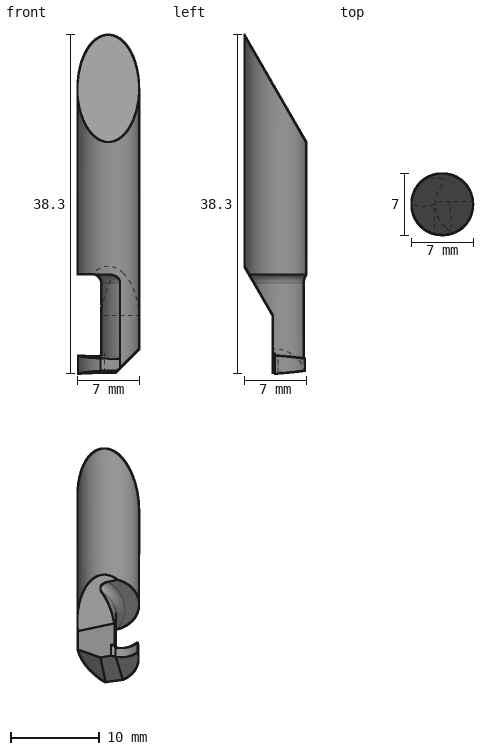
import cadquery as cq
import math


shank_radius = 3.5
overall_length = 38.31
slope_angle = 60
slope_tangent = math.tan(math.radians(slope_angle))
corner_bevel_height = 2.8

neck_left = -0.8
neck_radius = shank_radius
neck_axis_x = neck_left + neck_radius
shoulder_height = 11.25
shoulder_fillet = 1.0
foot_fillet = 0.2
back_flat_y = 0.3
back_slope_top = 12.15
back_slope_bottom = back_slope_top - (shank_radius - back_flat_y) * slope_tangent

tip_left = -3.42
cutting_edge_y = 0.04
land_end_y = -0.3
edge_width = 2.1
side_relief = 2.0
back_relief = 4.5
seat_x = -0.87
tip_arc_radius = shank_radius
tip_axis_x = tip_left + math.sqrt(tip_arc_radius**2 - land_end_y**2)
foot_front_y = -math.sqrt(tip_arc_radius**2 - (seat_x - tip_axis_x)**2)

runout_x = neck_axis_x / 2
runout_y = -math.sqrt(shank_radius**2 - runout_x**2)

groove_sag = 0.32
groove_right = -0.82
groove_half_chord = (groove_right - tip_left) / 2
groove_radius = (groove_half_chord**2 + groove_sag**2) / (2 * groove_sag)
groove_axis_x = tip_left + groove_half_chord
groove_axis_y = cutting_edge_y - groove_sag + groove_radius
groove_height = 2.3

reach = 4 * shank_radius


def tilted_block(edge_height, direction):
    """Block above (+1) or below (-1) the relief plane that passes through the cutting corner."""
    return (
        cq.Workplane("XY")
        .rect(2 * reach, 2 * reach)
        .extrude(direction * reach)
        .rotate((0, 0, 0), (1, 0, 0), direction * back_relief)
        .rotate((0, 0, 0), (0, 1, 0), direction * side_relief)
        .translate((tip_left, cutting_edge_y, edge_height))
    )


above_head = tilted_block(edge_width, 1)
below_head = tilted_block(0, -1)
chip_groove = (
    cq.Workplane("XY")
    .center(groove_axis_x, groove_axis_y)
    .circle(groove_radius)
    .extrude(groove_height + reach)
    .translate((0, 0, -reach))
)


def side_cut(points):
    """Cutting block with a YZ outline that runs right across the part in X."""
    return cq.Workplane("YZ").polyline(points).close().extrude(reach, both=True)


def make_neck_column():
    """Neck cylinder that flares into the shoulder with a concave fillet."""
    flare_start = shoulder_height - shoulder_fillet
    bend = shoulder_fillet * math.cos(math.radians(45))
    return (
        cq.Workplane("XZ")
        .moveTo(0, 0)
        .lineTo(neck_radius, 0)
        .lineTo(neck_radius, flare_start)
        .threePointArc(
            (neck_radius + shoulder_fillet - bend, flare_start + bend),
            (neck_radius + shoulder_fillet, shoulder_height),
        )
        .lineTo(0, shoulder_height)
        .close()
        .revolve(360, (0, 0, 0), (0, 1, 0))
        .translate((neck_axis_x, 0, 0))
    )


def make_foot_surround():
    """Everything around the foot: past the tip seat and in front of the flat foot face."""
    return (
        cq.Workplane("XY")
        .moveTo(seat_x, reach)
        .lineTo(seat_x, foot_front_y)
        .lineTo(runout_x, runout_y)
        .lineTo(runout_x, -reach)
        .lineTo(-reach, -reach)
        .lineTo(-reach, reach)
        .close()
        .extrude(groove_height)
    )


def make_corner_bevel():
    """Wedge that takes the lower +X corner off at 45 degrees."""
    return (
        cq.Workplane("XZ")
        .polyline([
            (shank_radius, corner_bevel_height),
            (shank_radius - corner_bevel_height, 0),
            (shank_radius, 0),
        ])
        .close()
        .extrude(reach, both=True)
    )


def make_bar():
    """Shank, neck and foot as one solid."""
    bar = cq.Workplane("XY").circle(shank_radius).extrude(overall_length)
    end_drop = 2 * shank_radius * slope_tangent
    bar = bar.cut(side_cut([
        (shank_radius, overall_length),
        (-shank_radius, overall_length - end_drop),
        (-shank_radius, overall_length),
    ]))
    bar = bar.cut(side_cut([
        (shank_radius, back_slope_top),
        (back_flat_y, back_slope_bottom),
        (back_flat_y, 0),
        (shank_radius, 0),
    ]))
    pocket = cq.Workplane("XY").rect(2 * reach, 2 * reach).extrude(shoulder_height)
    pocket = pocket.intersect(above_head).cut(make_neck_column())
    bar = bar.cut(pocket)
    neck_base_edge = cq.selectors.NearestToPointSelector((0, runout_y / 2, edge_width))
    bar = bar.edges(neck_base_edge).fillet(foot_fillet)
    bar = bar.cut(make_foot_surround())
    return bar.cut(make_corner_bevel()).cut(below_head).cut(chip_groove)


def make_tip():
    """Grooving tip with a narrow flat land, an arc behind it and a hollow rake face."""
    bend = tip_arc_radius * math.cos(math.radians(45))
    tip = (
        cq.Workplane("XY")
        .moveTo(seat_x, foot_front_y)
        .threePointArc((tip_axis_x - bend, -bend), (tip_left, land_end_y))
        .lineTo(tip_left, back_flat_y)
        .lineTo(seat_x, back_flat_y)
        .close()
        .extrude(groove_height)
    )
    return tip.cut(above_head).cut(below_head).cut(chip_groove)


bar = make_bar().solids()
tip = make_tip().solids()
result = cq.Compound.makeCompound([bar.val(), tip.val()])